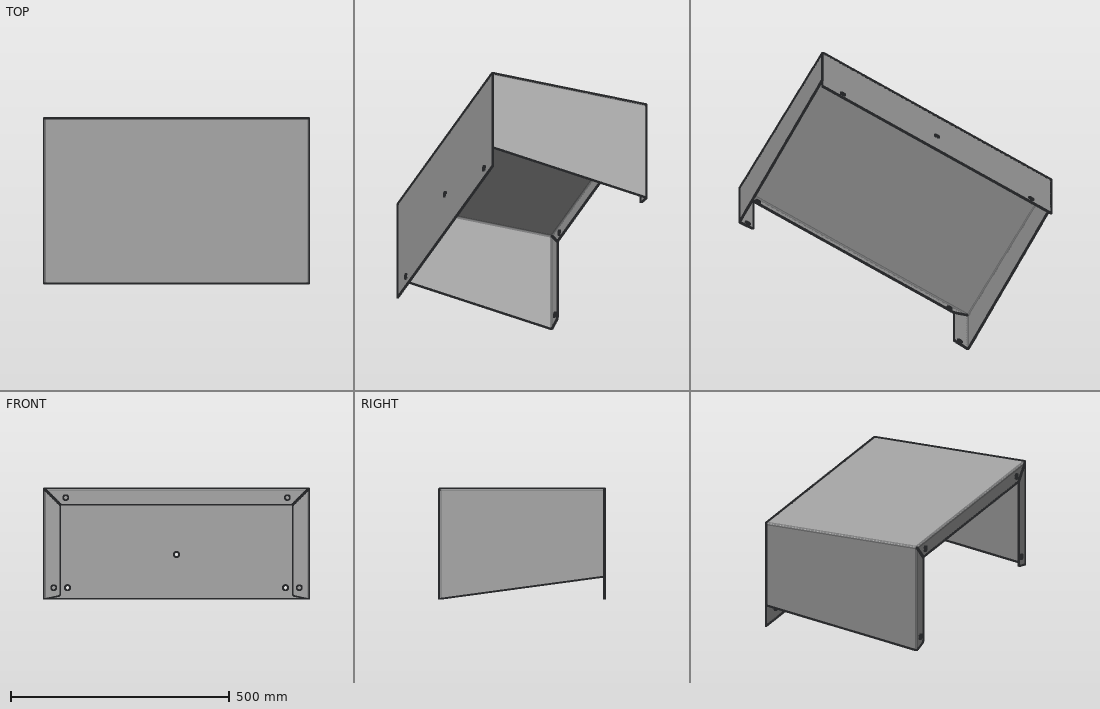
import cadquery as cq

width = 609.5
depth = 381.0
height = 254.0

thickness = 2.5
bend_radius = 4.0
inner_radius = bend_radius - thickness
back_bend_radius = thickness

flange_width = 38.5
flange_end_rise = 7.5
flange_corner_radius = 6.0
mitre_gap = 2.5
side_rear_rise = 50.5
back_side_step = 0.5

hole_diameter = 11.5
top_hole_inset = 50.5
top_hole_drop = 22.0
lower_hole_height = 25.5
flange_hole_inset = 23.0
back_hole_inset = 55.0
center_hole_height = 102.0

half_width = width / 2


def make_shell():
    """Folded cover, closed at the top, sides, front and back, open below."""
    outer = cq.Workplane("XY").box(width, depth, height, centered=(True, False, False))
    outer = outer.edges("|Z and <Y").fillet(bend_radius)
    outer = outer.faces(">Z").edges("not(>Y)").fillet(bend_radius)
    outer = outer.edges(">Y and >Z").fillet(back_bend_radius)
    inner = (
        cq.Workplane("XY")
        .box(width - 2 * thickness, depth - 2 * thickness, height - thickness, centered=(True, False, False))
        .translate((0, thickness, 0))
    )
    inner = inner.edges("|Z and <Y").fillet(inner_radius)
    inner = inner.faces(">Z").edges("not(>Y)").fillet(inner_radius)
    return outer.cut(inner)


def front_opening():
    """Opening between the flanges, with sloping flange ends and rounded corners."""
    inner_x = half_width - flange_width
    bend_x = half_width - bend_radius
    opening = (
        cq.Workplane("XZ")
        .moveTo(-bend_x, 0)
        .lineTo(-inner_x, flange_end_rise)
        .lineTo(-inner_x, height - flange_width)
        .lineTo(inner_x, height - flange_width)
        .lineTo(inner_x, flange_end_rise)
        .lineTo(bend_x, 0)
        .close()
        .extrude(-bend_radius)
    )
    lower_corners = cq.selectors.BoxSelector(
        (-half_width, -6, flange_end_rise / 2), (half_width, depth, 2 * flange_end_rise)
    )
    return opening.edges("|Y").edges(lower_corners).fillet(flange_corner_radius)


def mitre_slits():
    """Diagonal gaps between the top flange and the two side flanges."""
    run = flange_width - bend_radius
    length = run * 2**0.5
    middle = (flange_width + bend_radius) / 2
    slits = cq.Workplane("XY")
    for side in (-1, 1):
        slit = (
            cq.Workplane("XY")
            .box(length, bend_radius, mitre_gap, centered=(True, False, True))
            .rotate((0, 0, 0), (0, 1, 0), -45 * side)
            .translate((side * (half_width - middle), 0, height - middle))
        )
        slits = slits.add(slit)
    return slits.combine()


def side_slopes():
    """Wedge below both side walls, leaving the full-height back plate."""
    return (
        cq.Workplane("YZ")
        .moveTo(bend_radius, 0)
        .lineTo(depth - thickness, 0)
        .lineTo(depth - thickness, side_rear_rise)
        .close()
        .extrude(half_width, both=True)
    )


def back_side_steps():
    """Strips trimmed from the two vertical edges of the back plate."""
    return (
        cq.Workplane("XY")
        .pushPoints([(-half_width, depth), (half_width, depth)])
        .rect(2 * back_side_step, 2 * thickness)
        .extrude(height)
    )


def holes(points, start_y, length):
    """Round cutters along +Y at the given X, Z points."""
    return (
        cq.Workplane("XZ", origin=(0, start_y, 0))
        .pushPoints(points)
        .circle(hole_diameter / 2)
        .extrude(-length)
    )


flange_holes = []
back_holes = [(0, center_hole_height)]
for side in (-1, 1):
    flange_holes.append((side * (half_width - top_hole_inset), height - top_hole_drop))
    flange_holes.append((side * (half_width - flange_hole_inset), lower_hole_height))
    back_holes.append((side * (half_width - back_hole_inset), lower_hole_height))

result = (
    make_shell()
    .cut(front_opening())
    .cut(mitre_slits())
    .cut(side_slopes())
    .cut(back_side_steps())
    .cut(holes(flange_holes, 0, thickness))
    .cut(holes(back_holes, depth - thickness, thickness))
)